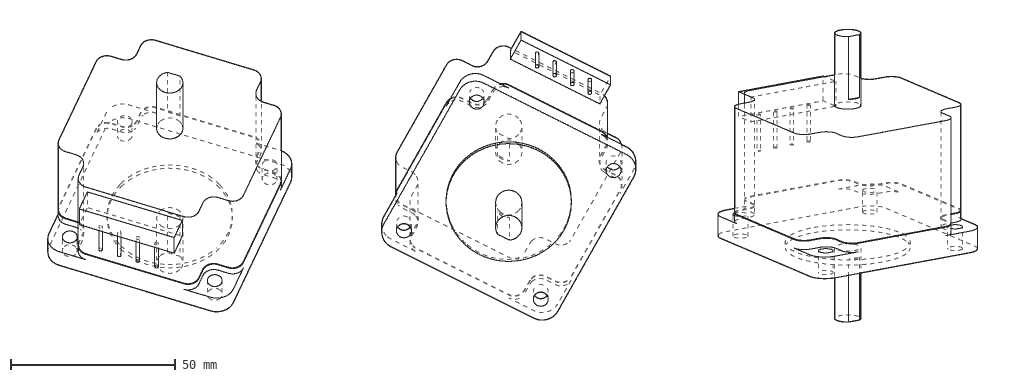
import cadquery as cq


shaft_length = 90.5
boss_bottom = 22.5
plate_bottom = 24.2
plate_top = 31.0
connector_bottom = 57.5
connector_top = 65.3
body_top = 67.5

body_width = 60.0
plate_corner_radius = 5.4
notch_size = 10.5
notch_fillet = 3.5
groove_bottom = 33.8
groove_height = 0.2
groove_depth = 0.1
hole_spacing = 47.15
hole_diameter = 4.5
boss_diameter = 38.1

shaft_diameter = 8.0
flat_depth = 0.5
flat_length = 19.9

connector_width = 30.9
connector_depth = 7.0
pin_count = 4
pin_pitch = 6.1
pin_diameter = 1.1
pin_length = 11.5
pin_offset = 5.4

half_width = body_width / 2


def make_plate():
    """Square mounting plate with rounded corners and four through holes."""
    return (
        cq.Workplane("XY", origin=(0, 0, plate_bottom))
        .rect(body_width, body_width)
        .extrude(plate_top - plate_bottom)
        .edges("|Z")
        .fillet(plate_corner_radius)
        .faces(">Z")
        .workplane()
        .rect(hole_spacing, hole_spacing, forConstruction=True)
        .vertices()
        .hole(hole_diameter)
    )


def make_body_slab(bottom, top, inset=0.0):
    """Body slab with a rounded notch at each corner; inset pulls the whole outline inward."""
    outer = body_width - 2 * inset
    cross_width = body_width - 2 * notch_size - 2 * inset
    base = cq.Workplane("XY", origin=(0, 0, bottom))
    along_x = base.rect(outer, cross_width).extrude(top - bottom)
    along_y = base.rect(cross_width, outer).extrude(top - bottom)
    return along_x.union(along_y).edges("|Z").fillet(notch_fillet)


def make_body():
    """Notched body, split by a hairline groove that follows its whole outline."""
    groove_top = groove_bottom + groove_height
    lower = make_body_slab(plate_top, groove_bottom)
    core = make_body_slab(groove_bottom, groove_top, groove_depth)
    upper = make_body_slab(groove_top, body_top)
    return lower.union(core).union(upper)


def make_boss():
    """Round pilot boss under the mounting plate."""
    return (
        cq.Workplane("XY", origin=(0, 0, boss_bottom))
        .circle(boss_diameter / 2)
        .extrude(plate_bottom - boss_bottom)
    )


def make_shaft():
    """Full-length shaft with a flat cut into both ends."""
    radius = shaft_diameter / 2
    shaft = cq.Workplane("XY").circle(radius).extrude(shaft_length)
    for flat_start in (0, shaft_length - flat_length):
        flat = (
            cq.Workplane("XY", origin=(0, radius - flat_depth, flat_start))
            .box(shaft_diameter, shaft_diameter, flat_length, centered=(True, False, False))
        )
        shaft = shaft.cut(flat)
    return shaft


def make_connector():
    """Connector block on the -Y face of the body with its row of round pins."""
    block = (
        cq.Workplane("XY", origin=(0, -half_width - connector_depth / 2, connector_bottom))
        .rect(connector_width, connector_depth)
        .extrude(connector_top - connector_bottom)
    )
    pins = (
        cq.Workplane("XY", origin=(0, -half_width - pin_offset, connector_bottom))
        .rarray(pin_pitch, 0.9, pin_count, 1)
        .circle(pin_diameter / 2)
        .extrude(-pin_length)
    )
    return block.union(pins)


result = (
    make_plate()
    .union(make_body())
    .union(make_boss())
    .union(make_shaft())
    .union(make_connector())
)